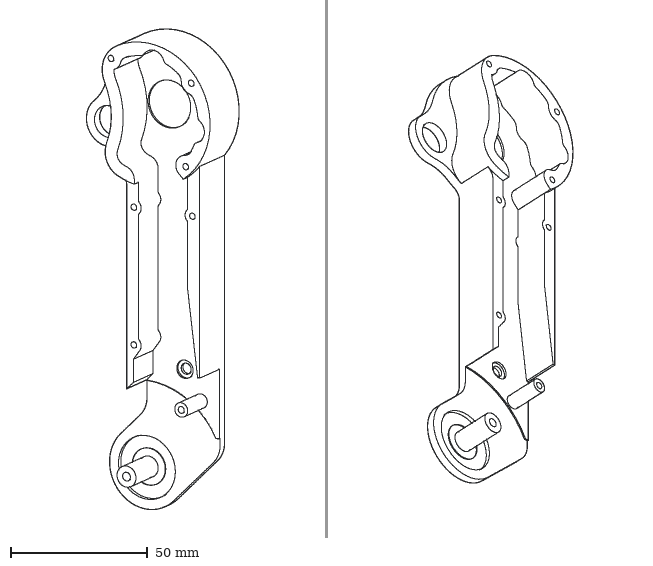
import cadquery as cq
import math


overall_height = 182.2
hub_plate_depth = 3.3
floor_depth = 3.8
arm_depth = 18.0
head_depth = 21.1

head_radius = 27.3
wall = 5.1
upper_corner_radius = 11.0
lower_corner_radius = 9.1
upper_corner_angle = 117.0
lower_corner_angle = 243.9
waist_radius = 29.1
cavity_radius = head_radius - wall
disc_diameter = 18.0
disc_recess = 1.0

lug_x = -25.7
lug_z = -10.2
lug_radius = 9.5
lug_hole_diameter = 12.0
lug_blend_radius = 16.0

arm_left = -9.8
arm_right = 21.1
head_blend_radius = 4.5
channel_left = arm_left + wall
channel_right = arm_right - wall
taper_start_z = -64.7
taper_end_z = -97.5
taper_tip = 1.0
left_tip_z = -105.8
left_thin_wall = 3.0
left_thin_top_z = -94.2
left_thin_bottom_z = left_tip_z + left_thin_wall

hub_x = arm_left
hub_z = -139.0
hub_radius = overall_height - head_radius + hub_z
bend_radius = 9.8
step_radius = 33.2
step_end_z = -123.9
hub_recess_diameter = 24.0
hub_recess_depth = 1.6
hub_boss_diameter = 14.0
hub_boss_drop = 1.3
hub_pin_diameter = 8.0
hub_pin_hole_diameter = 3.3

pin_x = 13.3
pin_z = -110.5
pin_diameter = 5.5
pin_hole_diameter = 2.5
seat_x = 6.5
seat_z = -99.5
seat_diameter = 7.0
seat_depth = 1.0
seat_hole_diameter = 4.2
seat_hole_depth = 2.2

screw_diameter = 2.4
screw_depth = 11.0
screw_circle_radius = 24.2
head_screw_angles = (37.1, 127.1, -45.5)
arm_screw_inset = 3.1
arm_boss_radius = 3.1
arm_boss_blend = 1.0
arm_boss_half_width = math.sqrt(arm_boss_radius**2 - (wall - arm_screw_inset) ** 2)
upper_arm_screw_z = -36.6
lower_arm_screw_z = -88.7
lobe_radius = 4.2
lobe_blend = 3.6

scallop_radius = 4.7
scallop_circle_radius = 20.4
scallop_angles = (81.0, -8.7)
scallop_blend = 1.8
channel_blend = 4.7


def polar(radius, angle):
    """Point at a radius and an angle in degrees about the head centre."""
    return radius * math.cos(math.radians(angle)), radius * math.sin(math.radians(angle))


def toward(start, end, distance):
    """Point at a distance from start on the way to end."""
    share = distance / math.dist(start, end)
    return start[0] + share * (end[0] - start[0]), start[1] + share * (end[1] - start[1])


def circle_crossing(first, first_radius, second, second_radius):
    """Crossing point of two circles on the right of the way from first to second."""
    span = math.dist(first, second)
    along = (span**2 + first_radius**2 - second_radius**2) / (2 * span)
    across = math.sqrt(first_radius**2 - along**2)
    base = toward(first, second, along)
    return (
        base[0] + across * (second[1] - first[1]) / span,
        base[1] - across * (second[0] - first[0]) / span,
    )


def plane(depth=0.0):
    return cq.Workplane("XZ", origin=(0, -depth, 0))


def cylinder(x, z, diameter, start, end):
    return plane(start).center(x, z).circle(diameter / 2).extrude(end - start)


def block(x_min, x_max, z_min, z_max, start, end):
    corner = plane(start).moveTo(x_min, z_min)
    return corner.lineTo(x_max, z_min).lineTo(x_max, z_max).lineTo(x_min, z_max).close().extrude(end - start)


def round_edge(body, x, z, radius):
    """Fillet the edge along Y that passes nearest to a point."""
    middle = (x, body.val().Center().y, z)
    return body.edges("|Y").edges(cq.NearestToPointSelector(middle)).fillet(radius)


def head_body(inset, start, end):
    """Round head with a waisted left side, all shrunk by an inset."""
    upper = polar(head_radius - upper_corner_radius, upper_corner_angle)
    lower = polar(head_radius - lower_corner_radius, lower_corner_angle)
    waist = circle_crossing(
        upper, waist_radius + upper_corner_radius, lower, waist_radius + lower_corner_radius
    )
    radius = head_radius - inset
    upper_radius = upper_corner_radius - inset
    lower_radius = lower_corner_radius - inset
    return (
        plane(start)
        .moveTo(*polar(radius, lower_corner_angle))
        .threePointArc((radius, 0), polar(radius, upper_corner_angle))
        .threePointArc((upper[0] - upper_radius, upper[1]), toward(upper, waist, upper_radius))
        .threePointArc((waist[0] + waist_radius + inset, waist[1]), toward(lower, waist, lower_radius))
        .threePointArc((lower[0] - lower_radius, lower[1]), polar(radius, lower_corner_angle))
        .close()
        .extrude(end - start)
    )


def lug(start, end):
    """Lug outline with concave blends into the round head."""
    head = (0, 0)
    center = (lug_x, lug_z)
    head_reach = head_radius + lug_blend_radius
    lug_reach = lug_radius + lug_blend_radius
    upper = circle_crossing(head, head_reach, center, lug_reach)
    lower = circle_crossing(center, lug_reach, head, head_reach)
    middle = toward(head, center, (head_radius + math.dist(head, center)) / 2)
    far_side = toward(center, head, -lug_radius)
    return (
        plane(start)
        .moveTo(*toward(head, upper, head_radius))
        .threePointArc(toward(upper, middle, lug_blend_radius), toward(center, upper, lug_radius))
        .threePointArc(far_side, toward(center, lower, lug_radius))
        .threePointArc(toward(lower, middle, lug_blend_radius), toward(head, lower, head_radius))
        .close()
        .extrude(end - start)
    )


def arm_plate(depth):
    """Straight arm that bends by 45 degrees to the round hub."""
    offset = hub_radius * math.sqrt(0.5)
    left_bend_z = hub_z + offset + (arm_left - hub_x + offset)
    right_bend_z = hub_z - offset + (arm_right - hub_x - offset)
    plate = (
        plane()
        .moveTo(arm_left, 0)
        .lineTo(arm_left, left_bend_z)
        .lineTo(hub_x - offset, hub_z + offset)
        .threePointArc((hub_x - offset, hub_z - offset), (hub_x + offset, hub_z - offset))
        .lineTo(arm_right, right_bend_z)
        .lineTo(arm_right, 0)
        .close()
        .extrude(depth)
    )
    for x, z in ((arm_left, left_bend_z), (arm_right, right_bend_z)):
        plate = round_edge(plate, x, z, bend_radius)
    return plate


def arm_head_blend(depth):
    """Concave fillet between the left side of the arm and the head."""
    center_x = arm_left - head_blend_radius
    center_z = -math.sqrt((head_radius + head_blend_radius) ** 2 - center_x**2)
    center = (center_x, center_z)
    start = toward(center, (0, 0), head_blend_radius)
    return (
        plane()
        .moveTo(*start)
        .threePointArc(toward(center, (arm_left, start[1]), head_blend_radius), (arm_left, center_z))
        .lineTo(arm_left, start[1])
        .close()
        .extrude(depth)
    )


def left_wall():
    """Left arm wall, thinned below the lower screw, with half-round screw bosses."""
    thin_x = arm_left + left_thin_wall
    boss_x = arm_left + arm_screw_inset
    top_z = wall / 2 - head_radius
    slope = math.sqrt(0.5) * arm_boss_radius
    wall_body = (
        plane()
        .moveTo(arm_left, top_z)
        .lineTo(arm_left, left_tip_z)
        .lineTo(thin_x, left_thin_bottom_z)
        .lineTo(thin_x, left_thin_top_z)
        .lineTo(boss_x + slope, lower_arm_screw_z - slope)
        .lineTo(channel_left, lower_arm_screw_z)
        .lineTo(channel_left, top_z)
        .close()
        .extrude(arm_depth)
    )
    for z in (upper_arm_screw_z, lower_arm_screw_z):
        wall_body = wall_body.union(cylinder(boss_x, z, 2 * arm_boss_radius, 0, arm_depth))
    blend_zs = (
        upper_arm_screw_z + arm_boss_half_width,
        upper_arm_screw_z - arm_boss_half_width,
        lower_arm_screw_z + arm_boss_half_width,
    )
    for z in blend_zs:
        wall_body = round_edge(wall_body, channel_left, z, arm_boss_blend)
    return wall_body


def right_wall():
    """Right arm wall that tapers to a thin tip, with one half-round screw boss."""
    wall_body = (
        plane()
        .moveTo(arm_right, -wall)
        .lineTo(arm_right, taper_end_z)
        .lineTo(arm_right - taper_tip, taper_end_z)
        .lineTo(channel_right, taper_start_z)
        .lineTo(channel_right, -wall)
        .close()
        .extrude(arm_depth)
    )
    boss_x = arm_right - arm_screw_inset
    wall_body = wall_body.union(cylinder(boss_x, upper_arm_screw_z, 2 * arm_boss_radius, 0, arm_depth))
    for z in (upper_arm_screw_z + arm_boss_half_width, upper_arm_screw_z - arm_boss_half_width):
        wall_body = round_edge(wall_body, channel_right, z, arm_boss_blend)
    return wall_body


def arc_half_angle(radius, distance, other_radius):
    """Half angle of a circle about the head centre that lies inside another circle."""
    cosine = (radius**2 + distance**2 - other_radius**2) / (2 * radius * distance)
    return math.degrees(math.acos(cosine))


def screw_lobe(angle):
    x, z = polar(screw_circle_radius, angle)
    return cylinder(x, z, 2 * lobe_radius, floor_depth, head_depth)


def lower_lobe_foot():
    """Wedge that runs from the lower screw lobe to the arm wall at 45 degrees."""
    x, z = polar(screw_circle_radius, head_screw_angles[2])
    offset = lobe_radius * math.sqrt(0.5)
    foot_z = z - offset - (channel_right - x + offset)
    return (
        plane(floor_depth)
        .moveTo(x, z)
        .lineTo(x - offset, z - offset)
        .lineTo(channel_right, foot_z)
        .lineTo(arm_right, foot_z)
        .lineTo(arm_right, z)
        .close()
        .extrude(head_depth - floor_depth)
    )


def head_cavity():
    """Cavity inside the head wall, open towards the arm channel."""
    cavity = head_body(wall, floor_depth, head_depth)
    cavity = cavity.union(block(channel_left, channel_right, -head_radius, 0, floor_depth, head_depth))
    cavity = round_edge(cavity, channel_left, -math.sqrt(cavity_radius**2 - channel_left**2), channel_blend)
    for angle in scallop_angles:
        x, z = polar(scallop_circle_radius, angle)
        cavity = cavity.union(cylinder(x, z, 2 * scallop_radius, floor_depth, head_depth))
        half_angle = arc_half_angle(cavity_radius, scallop_circle_radius, scallop_radius)
        for corner_angle in (angle - half_angle, angle + half_angle):
            cavity = round_edge(cavity, *polar(cavity_radius, corner_angle), scallop_blend)
    for angle in head_screw_angles:
        cavity = cavity.cut(screw_lobe(angle))
    half_angle = arc_half_angle(cavity_radius, screw_circle_radius, lobe_radius)
    right, upper_left, lower = head_screw_angles
    for corner_angle in (right - half_angle, right + half_angle, upper_left - half_angle, lower + half_angle):
        cavity = round_edge(cavity, *polar(cavity_radius, corner_angle), lobe_blend)
    return cavity.cut(lower_lobe_foot())


def floor():
    """Raised floor of the arm, ending in an arc around the hub."""
    plate = arm_plate(floor_depth)
    plate = plate.cut(cylinder(hub_x, hub_z, 2 * step_radius, hub_plate_depth, floor_depth))
    hub_left = hub_x - hub_radius
    hub_bottom = hub_z - hub_radius
    return plate.cut(block(hub_left, arm_right, hub_bottom, step_end_z, hub_plate_depth, floor_depth))


def main_body():
    body = floor().union(cylinder(0, 0, 2 * head_radius, 0, floor_depth))
    body = body.union(lug(0, floor_depth))
    body = body.union(arm_head_blend(arm_depth)).union(left_wall()).union(right_wall())
    return body.union(head_body(0, 0, head_depth)).cut(head_cavity())


def add_hub(body):
    bottom = hub_plate_depth - hub_recess_depth
    body = body.cut(cylinder(hub_x, hub_z, hub_recess_diameter, bottom, hub_plate_depth))
    body = body.union(cylinder(hub_x, hub_z, hub_boss_diameter, bottom, hub_plate_depth - hub_boss_drop))
    body = body.union(cylinder(hub_x, hub_z, hub_pin_diameter, bottom, arm_depth))
    return body.cut(cylinder(hub_x, hub_z, hub_pin_hole_diameter, arm_depth - screw_depth, arm_depth))


def add_pin_and_seat(body):
    body = body.union(cylinder(pin_x, pin_z, pin_diameter, 0, arm_depth))
    body = body.cut(cylinder(pin_x, pin_z, pin_hole_diameter, arm_depth - screw_depth, arm_depth))
    body = body.cut(cylinder(seat_x, seat_z, seat_diameter, floor_depth - seat_depth, floor_depth))
    return body.cut(cylinder(seat_x, seat_z, seat_hole_diameter, floor_depth - seat_hole_depth, floor_depth))


def cut_screw_holes(body):
    for angle in head_screw_angles:
        x, z = polar(screw_circle_radius, angle)
        body = body.cut(cylinder(x, z, screw_diameter, head_depth - screw_depth, head_depth))
    left_x = arm_left + arm_screw_inset
    right_x = arm_right - arm_screw_inset
    for x, z in ((left_x, upper_arm_screw_z), (right_x, upper_arm_screw_z), (left_x, lower_arm_screw_z)):
        body = body.cut(cylinder(x, z, screw_diameter, arm_depth - screw_depth, arm_depth))
    return body


result = cut_screw_holes(add_pin_and_seat(add_hub(main_body())))
result = result.cut(cylinder(lug_x, lug_z, lug_hole_diameter, 0, floor_depth))
result = result.cut(cylinder(0, 0, disc_diameter, floor_depth - disc_recess, floor_depth))